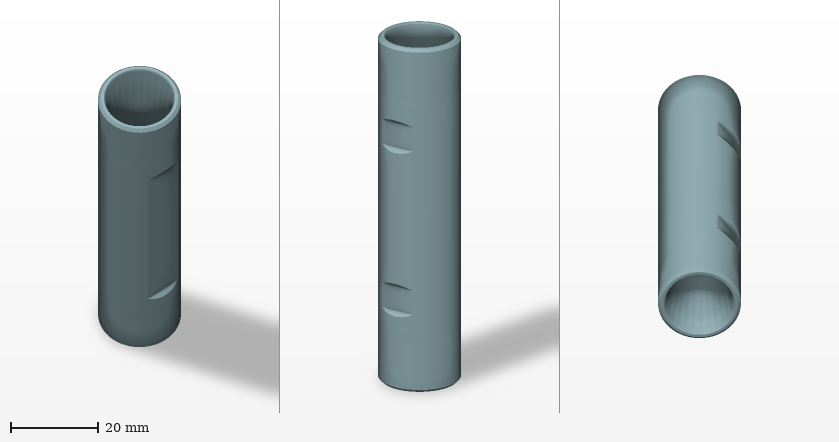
import cadquery as cq
import math

LENGTH = 84.0
BODY_DIAMETER = 19.05
END_DIAMETER = 19.0

END_LENGTH = 13.0
TAPER_LENGTH = 1.0
END_CHAMFER = 0.7

BORE_DIAMETER = 10.5
CONE_DIAMETER = 15.9
CONE_HALF_ANGLE = 8.0
BEVEL_WIDTH = 0.2
BEVEL_DEPTH = 0.3

FLAT_DISTANCE = 8.5
POCKET_SPACING = 40.0
POCKET_LENGTH = 8.0

half_length = LENGTH / 2
body_radius = BODY_DIAMETER / 2
end_radius = END_DIAMETER / 2
bore_radius = BORE_DIAMETER / 2
cone_radius = CONE_DIAMETER / 2
cone_length = (cone_radius - bore_radius) / math.tan(math.radians(CONE_HALF_ANGLE))
flat_depth = body_radius - FLAT_DISTANCE


def make_tube():
    """Revolve the half section of the hollow tube about Z, centred on the origin."""
    end_start = half_length - END_LENGTH
    cone_start = half_length - BEVEL_DEPTH
    upper_section = [
        (body_radius, end_start - TAPER_LENGTH),
        (end_radius, end_start),
        (end_radius, half_length - END_CHAMFER),
        (end_radius - END_CHAMFER, half_length),
        (cone_radius + BEVEL_WIDTH, half_length),
        (cone_radius, cone_start),
        (bore_radius, cone_start - cone_length),
    ]
    lower_section = [(radius, -height) for radius, height in reversed(upper_section)]
    section = cq.Workplane("XZ").polyline(upper_section + lower_section).close()
    return section.revolve(360, (0, 0, 0), (0, 1, 0))


def make_flat_cutter(side, height, length):
    """Cutter for a flat facing the given X side (+1 or -1), with 45 degree end walls."""
    half_opening = length / 2
    half_floor = half_opening - flat_depth
    half_outside = half_opening + flat_depth
    outside = side * (body_radius + flat_depth)
    floor = side * FLAT_DISTANCE
    return (
        cq.Workplane("XZ")
        .polyline([
            (floor, height - half_floor),
            (outside, height - half_outside),
            (outside, height + half_outside),
            (floor, height + half_floor),
        ])
        .close()
        .extrude(body_radius, both=True)
    )


result = make_tube()

for pocket_height in (-POCKET_SPACING / 2, POCKET_SPACING / 2):
    result = result.cut(make_flat_cutter(-1, pocket_height, POCKET_LENGTH))

result = result.cut(make_flat_cutter(1, 0, POCKET_SPACING + POCKET_LENGTH))